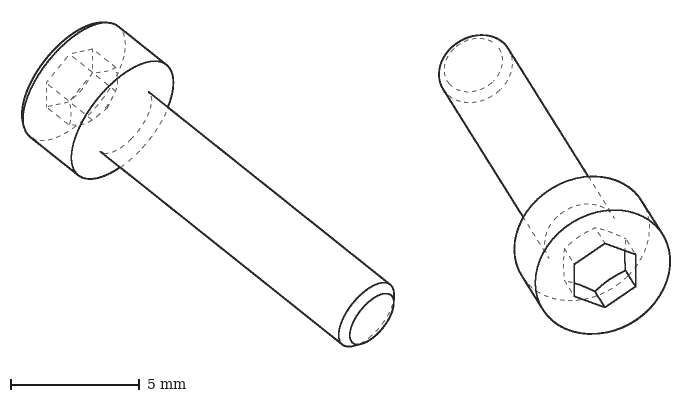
import cadquery as cq
import math

total_length = 17.0
head_length = 3.0
head_diameter = 5.5
rim_length = 0.27
rim_width = 0.3
rim_taper_length = 0.17
rim_taper_width = 0.1
shank_diameter = 3.0
underhead_fillet = 0.1
tip_chamfer = 0.3
socket_across_flats = 2.5
socket_depth = 1.3
socket_cone_angle = 120.0

socket_across_corners = socket_across_flats / math.cos(math.radians(30))


def make_cylinder(diameter, start, length):
    """Cylinder on the X axis, starting at the given X."""
    return cq.Workplane("YZ", origin=(start, 0, 0)).circle(diameter / 2).extrude(length)


def make_head():
    """Cylindrical head whose front rim is a short cone rounded into the flat face."""
    radius = head_diameter / 2
    profile = (
        cq.Workplane("XY")
        .lineTo(0, radius - rim_width)
        .tangentArcPoint((rim_length - rim_taper_length, radius - rim_taper_width), relative=False)
        .lineTo(rim_length, radius)
        .lineTo(head_length, radius)
        .lineTo(head_length, 0)
        .close()
    )
    return profile.revolve(360, (0, 0, 0), (1, 0, 0))


def make_shank():
    shank = make_cylinder(shank_diameter, head_length, total_length - head_length)
    return shank.faces(">X").chamfer(tip_chamfer)


def make_socket():
    """Hexagonal recess with corners toward +Z and -Z, ending in a cone that reaches its corners."""
    radius = socket_across_corners / 2
    tip_depth = socket_depth + radius / math.tan(math.radians(socket_cone_angle / 2))
    hexagon = (
        cq.Workplane("YZ")
        .transformed(rotate=(0, 0, 90))
        .polygon(6, socket_across_corners)
        .extrude(tip_depth)
    )
    pointed_drill = (
        cq.Workplane("XY")
        .polyline([(0, 0), (0, radius), (socket_depth, radius), (tip_depth, 0)])
        .close()
        .revolve(360, (0, 0, 0), (1, 0, 0))
    )
    return hexagon.intersect(pointed_drill)


body = make_head().union(make_shank())
head_underside = body.faces(cq.selectors.NearestToPointSelector((head_length, 0, 0)))
shank_corner = head_underside.edges(cq.selectors.RadiusNthSelector(0))
result = shank_corner.fillet(underhead_fillet).cut(make_socket())